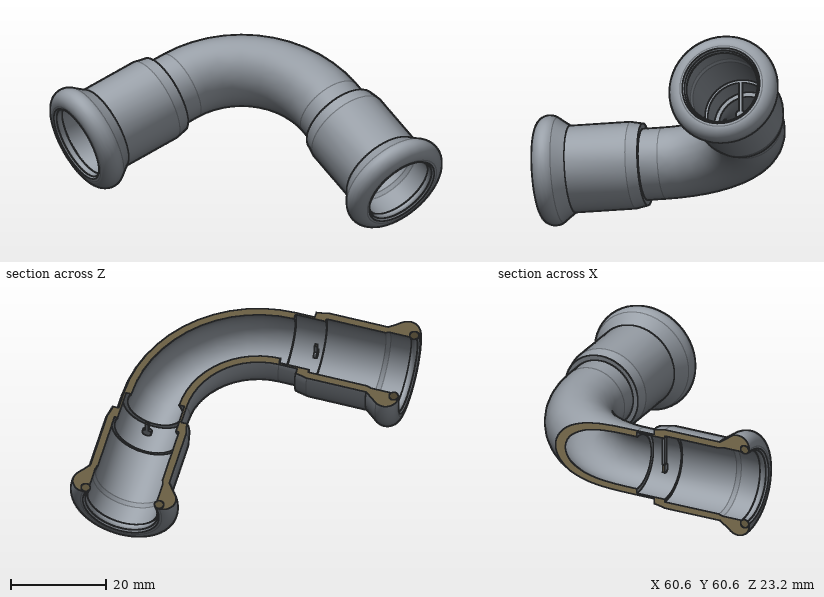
import cadquery as cq
import math

overall_length = 60.6
bead_diameter = 23.2
bead_radius = bead_diameter / 2
leg_length = overall_length - bead_radius

tube_outer_diameter = 15.0
tube_bore_diameter = 12.0
bend_start = 26.55
bend_radius = leg_length - bend_start

socket_diameter = 18.3
shoulder_diameter = 17.3
cone_end = 7.0
shoulder_start = 20.0
socket_end = 22.55
mouth_face_radius = 8.85
bead_round = bead_radius - mouth_face_radius

mouth_diameter = 16.6
mouth_chamfer_depth = 0.4
bore_diameter = 15.8
bore_taper_start = 6.3
bore_taper_end = 7.3
stop_bore_diameter = 15.2
stop_depth = 20.0
recess_diameter = 14.0
recess_end = bend_start

seal_inner_diameter = stop_bore_diameter
seal_section_radius = 0.9
seal_center_radius = seal_inner_diameter / 2 + seal_section_radius
seal_depth = 1.15

tab_disc_diameter = 2.0
tab_stem_width = 0.7
tab_thickness = 0.6

cone_edge_axial = cone_end - bead_round
cone_edge_radial = socket_diameter / 2 - mouth_face_radius
cone_edge_distance = math.hypot(cone_edge_axial, cone_edge_radial)
cone_edge_angle = math.atan2(cone_edge_radial, cone_edge_axial)
tangent_angle = cone_edge_angle + math.acos(bead_round / cone_edge_distance)


def bead_point(angle):
    """Point (radius, axial place) on the bead's round; angle 0 points into the fitting."""
    return (
        mouth_face_radius + bead_round * math.sin(angle),
        bead_round + bead_round * math.cos(angle),
    )


def revolve_about_leg(profile):
    """Revolve an XY profile about the Y axis."""
    return profile.revolve(360, (0, 0, 0), (0, 1, 0))


def to_second_leg(body):
    """Turn a body of the -Y leg onto the +X leg by mirroring in the elbow's diagonal plane."""
    quarter_turn = body.mirror("XZ").rotate((0, 0, 0), (0, 0, 1), -90)
    return quarter_turn.translate((leg_length, leg_length, 0))


def make_seal():
    section = cq.Workplane("XY").center(seal_center_radius, seal_depth).circle(seal_section_radius)
    return section.revolve(360, (-seal_center_radius, 0, 0), (-seal_center_radius, 1, 0))


def make_socket_outside():
    profile = (
        cq.Workplane("XY")
        .moveTo(0, 0)
        .lineTo(mouth_face_radius, 0)
        .threePointArc(bead_point(math.pi / 2), bead_point(tangent_angle))
        .lineTo(socket_diameter / 2, cone_end)
        .lineTo(socket_diameter / 2, shoulder_start)
        .lineTo(shoulder_diameter / 2, socket_end)
        .lineTo(0, socket_end)
        .close()
    )
    return revolve_about_leg(profile)


def make_socket_cavity():
    profile = (
        cq.Workplane("XY")
        .moveTo(0, 0)
        .lineTo(mouth_diameter / 2, 0)
        .lineTo(bore_diameter / 2, mouth_chamfer_depth)
        .lineTo(bore_diameter / 2, bore_taper_start)
        .lineTo(stop_bore_diameter / 2, bore_taper_end)
        .lineTo(stop_bore_diameter / 2, stop_depth)
        .lineTo(recess_diameter / 2, stop_depth)
        .lineTo(recess_diameter / 2, recess_end)
        .lineTo(0, recess_end)
        .close()
    )
    return revolve_about_leg(profile).union(make_seal())


def make_tab():
    stem_length = stop_bore_diameter / 2
    stem = (
        cq.Workplane("XY")
        .box(tab_stem_width, tab_thickness, stem_length, centered=(True, False, False))
    )
    disc = cq.Workplane("XZ").circle(tab_disc_diameter / 2).extrude(-tab_thickness)
    return stem.union(disc).translate((0, stop_depth, 0))


def make_bent_rod(diameter, start):
    """Round rod along the elbow's center line, starting and ending a given distance from the mouths."""
    mid_offset = bend_radius * (1 - math.cos(math.pi / 4))
    path = (
        cq.Workplane("XY")
        .moveTo(0, start)
        .lineTo(0, bend_start)
        .threePointArc((mid_offset, leg_length - mid_offset), (bend_radius, leg_length))
        .lineTo(leg_length - start, leg_length)
    )
    return cq.Workplane("XZ", origin=(0, start, 0)).circle(diameter / 2).sweep(path)


def make_fitting():
    socket = make_socket_outside()
    cavity = make_socket_cavity()
    tab = make_tab()
    outside = make_bent_rod(tube_outer_diameter, shoulder_start).union(socket).union(to_second_leg(socket))
    hollow = outside.cut(make_bent_rod(tube_bore_diameter, shoulder_start))
    hollow = hollow.cut(cavity).cut(to_second_leg(cavity))
    return hollow.union(tab).union(to_second_leg(tab))


fitting = make_fitting()
first_seal = make_seal()
seals = [first_seal, to_second_leg(first_seal)]

result = cq.Compound.makeCompound([fitting.val(), *[seal.val() for seal in seals]])